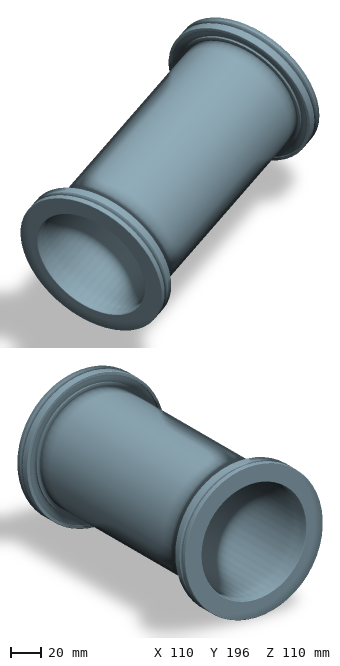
import cadquery as cq

TOTAL_LENGTH = 196.0
FLANGE_DIAMETER = 110.0
FLANGE_THICKNESS = 11.8
PIPE_DIAMETER = 89.0
BORE_DIAMETER = 83.3

GROOVE_CENTRE = 4.9
GROOVE_WIDTH = 3.1
GROOVE_FLOOR = 0.4
GROOVE_DEPTH = 1.5

RIM_WIDTH = 2.2
HUB_WIDTH = 2.7
RECESS_DEPTH = 1.5

EDGE_CHAMFER = 0.3
PIPE_SETBACK = 6.0

flange_radius = FLANGE_DIAMETER / 2
pipe_radius = PIPE_DIAMETER / 2
bore_radius = BORE_DIAMETER / 2
recess_outer_radius = flange_radius - RIM_WIDTH
recess_inner_radius = pipe_radius + HUB_WIDTH


def make_pipe():
    """Straight pipe whose ends sit in the sockets of the flanges."""
    length = TOTAL_LENGTH - 2 * PIPE_SETBACK
    return (
        cq.Workplane("XZ", origin=(0, length / 2, 0))
        .circle(pipe_radius)
        .circle(bore_radius)
        .extrude(length)
    )


def make_flange(side):
    """Grooved flange at the +Y end (side = 1) or the -Y end (side = -1)."""
    groove_radius = flange_radius - GROOVE_DEPTH
    section = [
        (bore_radius, EDGE_CHAMFER),
        (bore_radius + EDGE_CHAMFER, 0),
        (flange_radius - EDGE_CHAMFER, 0),
        (flange_radius, EDGE_CHAMFER),
        (flange_radius, GROOVE_CENTRE - GROOVE_WIDTH / 2),
        (groove_radius, GROOVE_CENTRE - GROOVE_FLOOR / 2),
        (groove_radius, GROOVE_CENTRE + GROOVE_FLOOR / 2),
        (flange_radius, GROOVE_CENTRE + GROOVE_WIDTH / 2),
        (flange_radius, FLANGE_THICKNESS - EDGE_CHAMFER),
        (flange_radius - EDGE_CHAMFER, FLANGE_THICKNESS),
        (recess_outer_radius, FLANGE_THICKNESS),
        (recess_outer_radius, FLANGE_THICKNESS - RECESS_DEPTH),
        (recess_inner_radius, FLANGE_THICKNESS - RECESS_DEPTH),
        (recess_inner_radius, FLANGE_THICKNESS),
        (pipe_radius, FLANGE_THICKNESS),
        (pipe_radius, PIPE_SETBACK),
        (bore_radius, PIPE_SETBACK),
    ]
    outer_face = TOTAL_LENGTH / 2
    points = [(radius, side * (outer_face - inward)) for radius, inward in section]
    return cq.Workplane("XY").polyline(points).close().revolve(360, (0, 0, 0), (0, 1, 0))


pipe = make_pipe()
flanges = [make_flange(side) for side in (-1, 1)]

result = cq.Compound.makeCompound([pipe.val(), *[flange.val() for flange in flanges]])